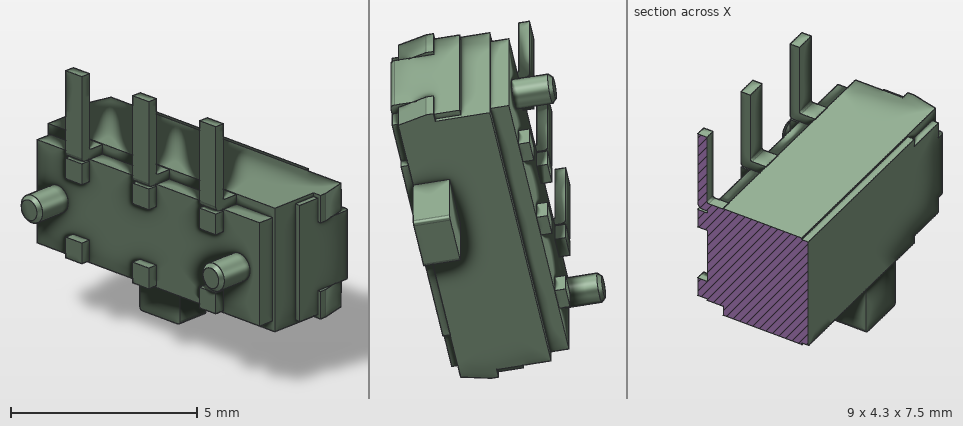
import cadquery as cq


base_length = 8.32
base_height = 3.01
body_length = 8.48
body_height = 3.6
body_front = 0.5
body_back = 3.0

overall_length = 9.0
wing_back_length = 8.6
wing_front = 2.0
wing_flat = 0.2
wing_inner_z = 1.0

cover_length = 8.8
cover_back = 3.2
cover_bend_radius = 0.12
cover_foot_front = 1.3
cover_foot_height = 3.38
plate_length = 8.24
plate_height = 3.01
rim_length = 5.78
rim_height = 3.49

terminal_pitch = 2.5
terminal_width = 0.6
terminal_thickness = 0.3
terminal_top = 4.0
terminal_ledge = 0.28
bend_outer_radii = (0.1, 0.1, 0.15)
bend_inner_radius = 0.05
pad_centre_z = 1.15

post_spacing = 6.795
post_diameter = 0.8
post_length = 1.1
post_chamfer = 0.11

knob_centre_x = -1.5
knob_width = 1.51
knob_end = -3.5
knob_corner_radius = 0.1


def block(length, height, front, back, x=0, z=0):
    """Box centred at (x, z) that spans front to back along Y."""
    centre = (x, (front + back) / 2, z)
    return cq.Workplane("XY").box(length, back - front, height).translate(centre)


def make_wings(side):
    """Layer of wing stock joining both ends, on the upper (+1) or lower (-1) side."""
    tip = overall_length / 2
    back_tip = wing_back_length / 2
    taper_start = wing_front + wing_flat
    outline = [
        (-tip, wing_front),
        (tip, wing_front),
        (tip, taper_start),
        (back_tip, body_back),
        (-back_tip, body_back),
        (-tip, taper_start),
    ]
    layer_height = body_height / 2 - wing_inner_z
    start_z = wing_inner_z if side > 0 else -body_height / 2
    return cq.Workplane("XY").workplane(offset=start_z).polyline(outline).close().extrude(layer_height)


def make_cover():
    """End legs with wide feet, and the stepped plate on the back of the body."""
    wrap = block(cover_length, 2 * wing_inner_z, cover_foot_front, cover_back)
    wrap = wrap.edges("|Z and >Y").fillet(cover_bend_radius)
    feet = block(cover_length, cover_foot_height, cover_foot_front, wing_front)
    plate = block(plate_length, plate_height, body_front, cover_back)
    rim = block(rim_length, rim_height, body_front, cover_back)
    return wrap.union(feet).union(plate).union(rim)


def make_terminal(x, bend_outer_radius):
    """L-shaped terminal: a ledge out of the body, then an arm bent upward."""
    ledge_bottom = base_height / 2
    ledge_top = ledge_bottom + terminal_ledge
    outline = [
        (body_front, ledge_bottom),
        (-terminal_thickness, ledge_bottom),
        (-terminal_thickness, terminal_top),
        (0, terminal_top),
        (0, ledge_top),
        (body_front, ledge_top),
    ]
    terminal = cq.Workplane("YZ").polyline(outline).close().extrude(terminal_width / 2, both=True)
    outer_corner = cq.NearestToPointSelector((0, -terminal_thickness, ledge_bottom))
    inner_corner = cq.NearestToPointSelector((0, 0, ledge_top))
    terminal = terminal.edges("|X").edges(outer_corner).fillet(bend_outer_radius)
    terminal = terminal.edges("|X").edges(inner_corner).fillet(bend_inner_radius)
    return terminal.translate((x, 0, 0))


def make_pad(x, z):
    """Square standoff pad on the seating face."""
    return block(terminal_width, terminal_width, -terminal_thickness, body_front, x, z)


def make_post(x):
    """Locating post with a chamfered tip."""
    post = cq.Workplane("XZ").circle(post_diameter / 2).extrude(post_length)
    return post.faces("<Y").chamfer(post_chamfer).translate((x, 0, 0))


def make_knob():
    """Knob hanging below the body, level with the wings along Y."""
    centre_z = knob_end / 2
    knob = block(knob_width, -knob_end, wing_front, body_back, knob_centre_x, centre_z)
    return knob.edges("|Y and <Z").fillet(knob_corner_radius)


result = block(body_length, body_height, body_front, body_back)
result = result.union(block(base_length, base_height, 0, body_front))
for side in (-1, 1):
    result = result.union(make_wings(side))
    result = result.union(make_post(side * post_spacing / 2))
result = result.union(make_cover())
for column, bend_outer_radius in zip((-1, 0, 1), bend_outer_radii):
    column_x = column * terminal_pitch
    result = result.union(make_terminal(column_x, bend_outer_radius))
    for side in (-1, 1):
        result = result.union(make_pad(column_x, side * pad_centre_z))
result = result.union(make_knob())